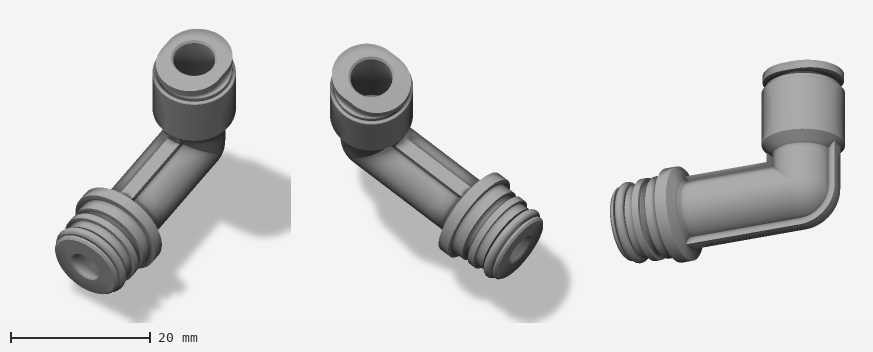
import cadquery as cq


tube_radius = 4.45
rib_thickness = 2.0
rib_reach = 5.33

plug_end = 27.97
cone_start = 17.28
cone_flare = 17.62
flare_radius = 4.8
flange_start = 18.47
flange_end = 20.25
snap_groove_start = 22.1
snap_groove_end = 23.22
collar_end = 24.2
seal_groove_start = 25.53
seal_groove_end = 27.35
flange_radius = 13.7 / 2
plug_radius = 11.95 / 2
snap_groove_radius = 10.15 / 2
snap_groove_slope = 0.25
land_radius = 10.8 / 2
seal_groove_radius = 8.6 / 2
plug_chamfer = 0.3
seal_center = 26.45
seal_section_radius = 0.65
seal_outer_radius = 11.8 / 2
seal_seat_width = 0.65

socket_radius = 11.95 / 2
socket_cone_bottom = 5.9
socket_cone_top = 7.37
socket_top = 15.65
collar_radius = 10.9 / 2
collar_top = 16.4
edge_chamfer = 0.1

neck_radius = 7.4 / 2
neck_flare_start = 16.9
neck_flare_radius = 4.07
head_bottom = 17.28
head_rim = 18.35
head_top = 18.8
head_length = 11.8
head_width = 9.9

socket_bore_radius = 6.0 / 2
socket_mouth_radius = 6.62 / 2
passage_radius = 3.4 / 2
plug_bore_radius = 4.4 / 2
plug_mouth_chamfer = 0.25


def revolve_z(points):
    """Revolve a (radius, height) outline about the Z axis."""
    return cq.Workplane("XZ").polyline(points).close().revolve(360, (0, 0), (0, 1))


def revolve_plug(points):
    """Revolve a (radius, distance along -Y) outline about the Y axis."""
    outline = [(radius, -distance) for radius, distance in points]
    return cq.Workplane("XY").polyline(outline).close().revolve(360, (0, 0), (0, 1))


def make_elbow():
    upright = cq.Workplane("XY").circle(tube_radius).extrude(socket_cone_top)
    level = cq.Workplane("XZ").circle(tube_radius).extrude(flange_start)
    return upright.union(level).union(cq.Workplane("XY").sphere(tube_radius))


def make_rib():
    """Flat L-shaped web in the plane of both axes, rounded at the outer corner."""
    corner = rib_reach * 0.5 ** 0.5
    outline = (
        cq.Workplane("YZ")
        .moveTo(rib_reach, socket_cone_top)
        .lineTo(rib_reach, 0)
        .threePointArc((corner, -corner), (0, -rib_reach))
        .lineTo(-flange_start, -rib_reach)
        .lineTo(-flange_start, rib_reach)
        .lineTo(-rib_reach, rib_reach)
        .lineTo(-rib_reach, socket_cone_top)
        .close()
    )
    return outline.extrude(rib_thickness / 2, both=True)


def make_plug():
    slope = snap_groove_slope
    body = revolve_plug([
        (0, cone_start),
        (tube_radius, cone_start),
        (flare_radius, cone_flare),
        (flange_radius, flange_start),
        (flange_radius, flange_end),
        (plug_radius, flange_end),
        (plug_radius, snap_groove_start),
        (snap_groove_radius + slope, snap_groove_start),
        (snap_groove_radius, snap_groove_start + slope),
        (snap_groove_radius, snap_groove_end - slope),
        (snap_groove_radius + slope, snap_groove_end),
        (plug_radius, snap_groove_end),
        (plug_radius, collar_end),
        (land_radius, collar_end),
        (land_radius, seal_groove_start),
        (seal_groove_radius, seal_groove_start),
        (seal_groove_radius, seal_groove_end),
        (land_radius, seal_groove_end),
        (land_radius, plug_end - plug_chamfer),
        (land_radius - plug_chamfer, plug_end),
        (0, plug_end),
    ])
    seal_ring_radius = seal_outer_radius - seal_section_radius
    seal = (
        cq.Workplane("XY")
        .center(seal_ring_radius, -seal_center)
        .circle(seal_section_radius)
        .revolve(360, (-seal_ring_radius, 0), (-seal_ring_radius, 1))
    )
    seat_start = seal_center - seal_seat_width / 2
    seat_end = seal_center + seal_seat_width / 2
    seat = revolve_plug([
        (0, seat_start),
        (seal_ring_radius, seat_start),
        (seal_ring_radius, seat_end),
        (0, seat_end),
    ])
    return body.union(seat).union(seal)


def make_socket():
    return revolve_z([
        (0, socket_cone_bottom),
        (tube_radius, socket_cone_bottom),
        (socket_radius, socket_cone_top),
        (socket_radius, socket_top - edge_chamfer),
        (socket_radius - edge_chamfer, socket_top),
        (collar_radius, socket_top),
        (collar_radius, collar_top - edge_chamfer),
        (collar_radius - edge_chamfer, collar_top),
        (0, collar_top),
    ])


def make_button():
    """Flared neck under an oval head with a shallow conical top."""
    neck = revolve_z([
        (0, collar_top),
        (neck_radius, collar_top),
        (neck_radius, neck_flare_start),
        (neck_flare_radius, head_bottom),
        (0, head_bottom),
    ])
    oval = (
        cq.Workplane("XY", origin=(0, 0, head_bottom))
        .slot2D(head_length, head_width, 90)
        .extrude(head_top - head_bottom)
    )
    domed_disc = revolve_z([
        (0, head_bottom),
        (head_length / 2, head_bottom),
        (head_length / 2, head_rim),
        (socket_mouth_radius, head_top),
        (0, head_top),
    ])
    return neck.union(oval.intersect(domed_disc))


def make_passages():
    """Stepped socket bore and tapered plug bore, joined by a round elbow."""
    mouth_depth = socket_mouth_radius - socket_bore_radius
    socket_bore = revolve_z([
        (0, 0),
        (passage_radius, 0),
        (passage_radius, socket_cone_top),
        (socket_bore_radius, socket_cone_top),
        (socket_bore_radius, head_top - mouth_depth),
        (socket_mouth_radius, head_top),
        (0, head_top),
    ])
    plug_bore = revolve_plug([
        (0, 0),
        (passage_radius, 0),
        (plug_bore_radius, plug_end - plug_mouth_chamfer),
        (plug_bore_radius + plug_mouth_chamfer, plug_end),
        (0, plug_end),
    ])
    return socket_bore.union(plug_bore).union(cq.Workplane("XY").sphere(passage_radius))


body = make_elbow().union(make_rib()).union(make_plug())
body = body.union(make_socket()).union(make_button())
result = body.cut(make_passages())